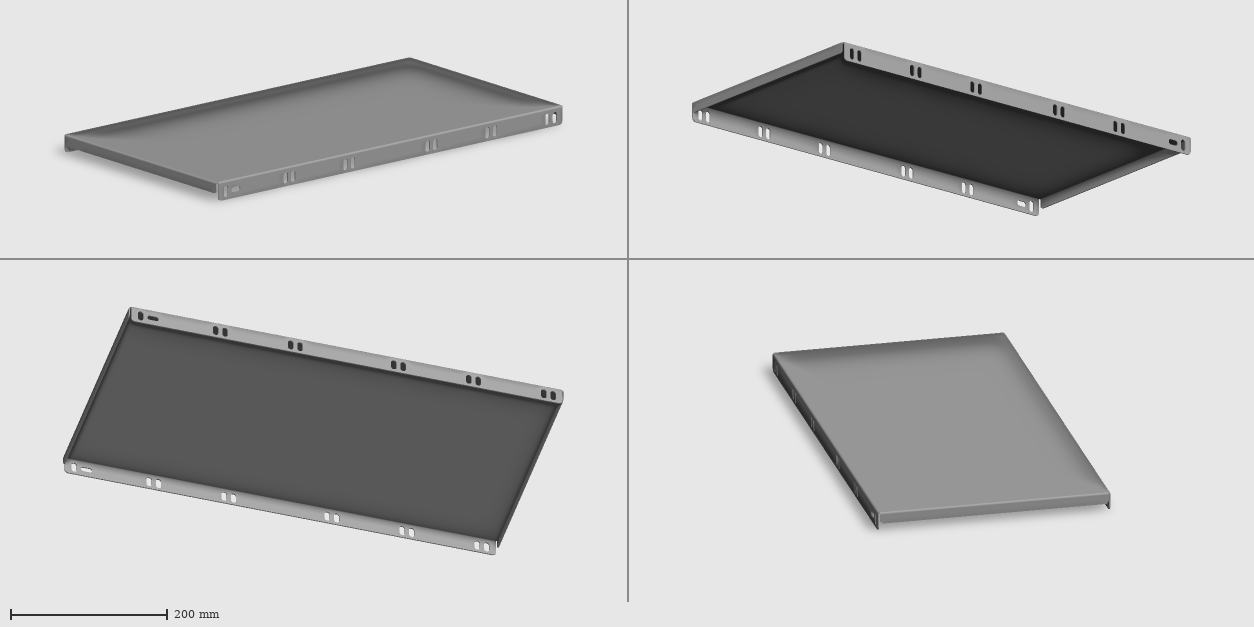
import cadquery as cq

WIDTH = 306.0
LENGTH = 580.0
SIDE_HEIGHT = 25.0
END_HEIGHT = 15.0

SHEET = 1.5
INNER_BEND = 1.0
OUTER_BEND = INNER_BEND + SHEET
CORNER_RADIUS = 5.0

FLAT_X = WIDTH - 2 * OUTER_BEND
FLAT_Y = LENGTH - 2 * OUTER_BEND

SLOT_LENGTH = 15.0
SLOT_WIDTH = 7.0
SLOT_Z = 11.0
PAIR_SPACING = 12.5
FIRST_SLOT_Y = 275.0
PAIR_PITCH = 100.0
PAIRS_PER_HALF = 3

CROSS_SLOT_Y = -(FIRST_SLOT_Y - PAIR_SPACING) + (SLOT_LENGTH - SLOT_WIDTH) / 2


def folded_flange(span, reach, height):
    """Bend and flange on the +X side of a flat edge at x = reach - OUTER_BEND, centred on Y."""
    tangent_x = reach - OUTER_BEND
    top = SIDE_HEIGHT
    bend_z = top - OUTER_BEND
    bottom = top - height
    flange = (
        cq.Workplane("XZ")
        .moveTo(tangent_x, top)
        .radiusArc((reach, bend_z), OUTER_BEND)
        .lineTo(reach, bottom)
        .lineTo(reach - SHEET, bottom)
        .lineTo(reach - SHEET, bend_z)
        .radiusArc((tangent_x, top - SHEET), -INNER_BEND)
        .close()
        .extrude(span / 2, both=True)
    )
    return flange.edges("|X and <Z").fillet(CORNER_RADIUS)


def tray():
    """Flat top with a folded flange on each of its four sides."""
    body = cq.Workplane("XY").box(FLAT_X, FLAT_Y, SHEET).translate((0, 0, SIDE_HEIGHT - SHEET / 2))
    side = folded_flange(FLAT_Y, WIDTH / 2, SIDE_HEIGHT)
    end = folded_flange(FLAT_X, LENGTH / 2, END_HEIGHT)
    for half_turn in (0, 180):
        body = body.union(side.rotate((0, 0, 0), (0, 0, 1), half_turn))
        body = body.union(end.rotate((0, 0, 0), (0, 0, 1), 90 + half_turn))
    return body


def slot_cutter(y_positions, angle):
    """Slots running along X through both long flanges; angle 0 lies along Y, 90 stands upright."""
    return (
        cq.Workplane("YZ")
        .pushPoints([(y, SLOT_Z) for y in y_positions])
        .slot2D(SLOT_LENGTH, SLOT_WIDTH, angle)
        .extrude(WIDTH, both=True)
    )


def upright_slot_positions():
    """Pairs of upright slots mirrored about mid-length, less the one replaced by the cross slot."""
    positions = []
    for index in range(PAIRS_PER_HALF):
        outer = FIRST_SLOT_Y - index * PAIR_PITCH
        inner = outer - PAIR_SPACING
        positions += [outer, inner, -outer]
        if index > 0:
            positions.append(-inner)
    return positions


result = (
    tray()
    .cut(slot_cutter(upright_slot_positions(), 90))
    .cut(slot_cutter([CROSS_SLOT_Y], 0))
)